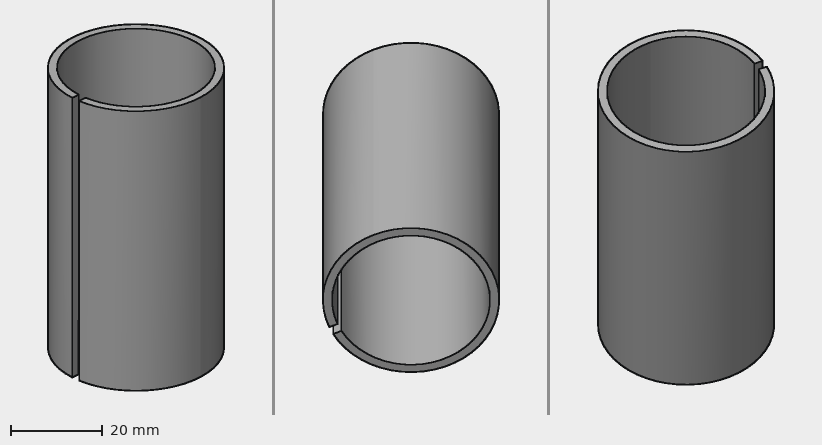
import cadquery as cq

outer_diameter = 38.4
wall_thickness = 2.0
length = 70.0
slot_width = 2.0

outer_radius = outer_diameter / 2
inner_radius = outer_radius - wall_thickness


def make_tube():
    """Hollow cylinder standing on the XY plane."""
    return cq.Workplane("XY").circle(outer_radius).circle(inner_radius).extrude(length)


def make_slot_cutter():
    """Parallel-sided block running from the axis out through the -Y wall."""
    return cq.Workplane("XY").box(
        slot_width, outer_diameter, length, centered=(True, True, False)
    ).translate((0, -outer_radius, 0))


result = make_tube().cut(make_slot_cutter())